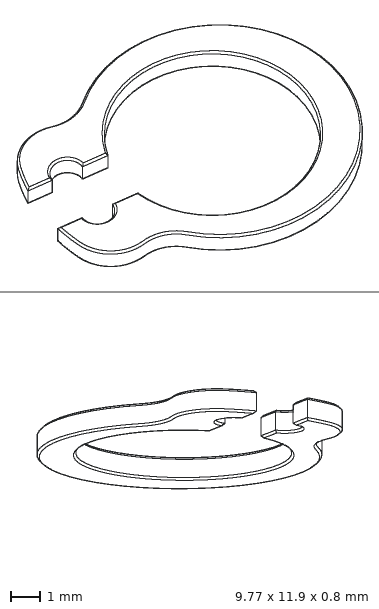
import cadquery as cq
import math

thickness = 0.8
edge_chamfer = 0.08
bore_radius = 3.7
rim_radius = 4.885
rim_offset_y = 0.295
gap_width = 2.0
lug_end_radius = 6.83
lug_corner_radius = 1.64
lug_half_width = 3.17
neck_radius = 1.55
plier_hole_radius = 0.6
plier_hole_y = -5.18

half_gap = gap_width / 2


def polar(center, radius, angle):
    """Point on a circle."""
    return (center[0] + radius * math.cos(angle), center[1] + radius * math.sin(angle))


def direction(start, end):
    """Angle of the line from start to end, from 0 to a full turn."""
    return math.atan2(end[1] - start[1], end[0] - start[0]) % (2 * math.pi)


def mirrored(point):
    """The same point on the other side of the YZ plane."""
    return (-point[0], point[1])


def neck_center_between(rim_center, lug_center):
    """Centre of the right-hand neck arc, tangent to both the rim and the lug corner."""
    to_rim = rim_radius + neck_radius
    to_lug = lug_corner_radius + neck_radius
    span = math.dist(rim_center, lug_center)
    cos_at_rim = (to_rim**2 + span**2 - to_lug**2) / (2 * to_rim * span)
    return polar(rim_center, to_rim, direction(rim_center, lug_center) + math.acos(cos_at_rim))


def make_blank():
    """Solid plate bounded by the rim, the necks and the lugs, spanning the gap."""
    bore_center = (0, 0)
    rim_center = (0, rim_offset_y)
    lug_center_x = lug_half_width - lug_corner_radius
    lug_center_y = -math.sqrt((lug_end_radius - lug_corner_radius) ** 2 - lug_center_x**2)
    lug_center = (lug_center_x, lug_center_y)
    neck_center = neck_center_between(rim_center, lug_center)

    rim_end = polar(rim_center, rim_radius, direction(rim_center, neck_center))
    lug_start_angle = direction(lug_center, neck_center)
    lug_start = polar(lug_center, lug_corner_radius, lug_start_angle)
    lug_end_angle = direction(bore_center, lug_center)
    lug_end = polar(bore_center, lug_end_radius, lug_end_angle)

    neck_mid_angle = (direction(neck_center, rim_end) + direction(neck_center, lug_start)) / 2
    neck_mid = polar(neck_center, neck_radius, neck_mid_angle)
    lug_mid_angle = (lug_start_angle + lug_end_angle) / 2 - math.pi
    lug_mid = polar(lug_center, lug_corner_radius, lug_mid_angle)

    return (
        cq.Workplane("XY")
        .moveTo(*mirrored(rim_end))
        .threePointArc((0, rim_offset_y + rim_radius), rim_end)
        .threePointArc(neck_mid, lug_start)
        .threePointArc(lug_mid, lug_end)
        .threePointArc((0, -lug_end_radius), mirrored(lug_end))
        .threePointArc(mirrored(lug_mid), mirrored(lug_start))
        .threePointArc(mirrored(neck_mid), mirrored(rim_end))
        .close()
        .extrude(thickness)
    )


def make_bore():
    return cq.Workplane("XY").circle(bore_radius).extrude(thickness)


def make_gap():
    """Slot from the bore axis out through the lug tips."""
    return cq.Workplane("XY").center(0, -lug_end_radius / 2).rect(gap_width, lug_end_radius).extrude(thickness)


def make_plier_holes():
    centers = [(-half_gap, plier_hole_y), (half_gap, plier_hole_y)]
    return cq.Workplane("XY").pushPoints(centers).circle(plier_hole_radius).extrude(thickness)


ring = make_blank().cut(make_bore()).cut(make_gap()).cut(make_plier_holes())
result = ring.faces("<Z or >Z").chamfer(edge_chamfer)